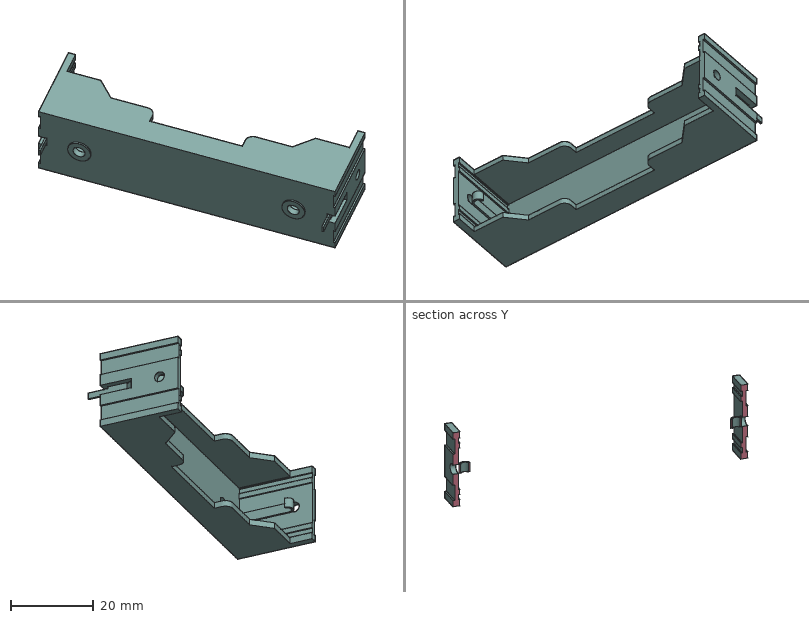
import cadquery as cq

LENGTH = 77.0
HEIGHT = 20.0
DEPTH = 21.0
END_WALL = 1.85
SIDE_WALL = 1.55
FLOOR = 1.2

SHOULDER_LEVEL = 15.1
SHOULDER_END = 10.6
STEP_LEVEL = 10.5
STEP_START = 14.9
NOTCH_LEVEL = 6.5
NOTCH_WIDTH = 24.0
NOTCH_RADIUS = 2.0

OUTER_GROOVE_DEPTH = 0.5
OUTER_GROOVE_INNER_EDGE = 4.2
OUTER_GROOVE_OUTER_EDGE = 8.25
RECESS_DEPTH = 0.35
RIB_INNER_EDGE = 5.55
RIB_OUTER_EDGE = 6.9

STRIP_THICKNESS = 0.5
STRIP_WIDTH = 2.55
BOW_RADIUS = 1.55
BOW_CENTER_LEVEL = 14.9
PIN_WIDTH = 1.6
PIN_LENGTH = 4.0
NECK_LEVEL = 1.15
TAB_WIDTH = 2.1
TAB_HINGE_LEVEL = 6.55
TAB_TIP_LEVEL = 8.1
TAB_REACH = 0.9

SLOT_HEIGHT = 8.4
SLOT_DEPTH = 2.15
PEEP_HOLE_DIAMETER = 2.6
PEEP_HOLE_LEVEL = 16.0
MOUNT_SPACING = 55.6
MOUNT_HOLE_DIAMETER = 3.1
BOSS_DIAMETER = 5.9
BOSS_HEIGHT = 0.5

HALF_LENGTH = LENGTH / 2
INNER_HALF_LENGTH = HALF_LENGTH - END_WALL
STRIP_OUTER_X = -INNER_HALF_LENGTH - RECESS_DEPTH


def block(x_range, y_range, z_range):
    """Box between the given limits along each axis."""
    (x0, x1), (y0, y1), (z0, z1) = x_range, y_range, z_range
    return cq.Workplane("XY").box(x1 - x0, y1 - y0, z1 - z0, centered=False).translate((x0, y0, z0))


def mirrored_pair(shape, plane):
    """The shape together with its mirror image."""
    return shape.union(shape.mirror(plane))


def tray():
    """Block with the stepped rim, hollowed out between the end walls."""
    half_notch = NOTCH_WIDTH / 2
    shoulder_x = HALF_LENGTH - SHOULDER_END
    step_x = HALF_LENGTH - STEP_START
    body = block((-HALF_LENGTH, HALF_LENGTH), (0, DEPTH), (-HEIGHT / 2, HEIGHT / 2))
    rim_cut = (
        cq.Workplane("XY", origin=(0, 0, -HEIGHT / 2))
        .moveTo(-INNER_HALF_LENGTH, DEPTH)
        .lineTo(-INNER_HALF_LENGTH, SHOULDER_LEVEL)
        .lineTo(-shoulder_x, SHOULDER_LEVEL)
        .lineTo(-step_x, STEP_LEVEL)
        .lineTo(-half_notch - NOTCH_RADIUS, STEP_LEVEL)
        .radiusArc((-half_notch, STEP_LEVEL - NOTCH_RADIUS), NOTCH_RADIUS)
        .lineTo(-half_notch, NOTCH_LEVEL)
        .lineTo(half_notch, NOTCH_LEVEL)
        .lineTo(half_notch, STEP_LEVEL - NOTCH_RADIUS)
        .radiusArc((half_notch + NOTCH_RADIUS, STEP_LEVEL), NOTCH_RADIUS)
        .lineTo(step_x, STEP_LEVEL)
        .lineTo(shoulder_x, SHOULDER_LEVEL)
        .lineTo(INNER_HALF_LENGTH, SHOULDER_LEVEL)
        .lineTo(INNER_HALF_LENGTH, DEPTH)
        .close()
        .extrude(HEIGHT)
    )
    cavity_half_height = HEIGHT / 2 - SIDE_WALL
    cavity = block(
        (-INNER_HALF_LENGTH, INNER_HALF_LENGTH),
        (FLOOR, DEPTH),
        (-cavity_half_height, cavity_half_height),
    )
    return body.cut(rim_cut).cut(cavity)


def outer_grooves():
    """Two grooves down the outside of the -X end wall."""
    groove = block(
        (-HALF_LENGTH, -HALF_LENGTH + OUTER_GROOVE_DEPTH),
        (0, DEPTH),
        (OUTER_GROOVE_INNER_EDGE, OUTER_GROOVE_OUTER_EDGE),
    )
    return mirrored_pair(groove, "XY")


def inner_recesses():
    """Recesses in the inside of the -X end wall, which leave a rib on each side of the contact."""
    x_range = (STRIP_OUTER_X, -INNER_HALF_LENGTH)
    y_range = (FLOOR, DEPTH)
    middle = block(x_range, y_range, (-RIB_INNER_EDGE, RIB_INNER_EDGE))
    side = block(x_range, y_range, (RIB_OUTER_EDGE, OUTER_GROOVE_OUTER_EDGE))
    return middle.union(mirrored_pair(side, "XY"))


def contact_openings():
    """Slot for the strip and round hole behind the bow, both in the -X end wall."""
    slot = block(
        (-HALF_LENGTH, -HALF_LENGTH + SLOT_DEPTH),
        (0, SLOT_HEIGHT),
        (-STRIP_WIDTH / 2, STRIP_WIDTH / 2),
    )
    peep_hole = (
        cq.Workplane("YZ", origin=(-HALF_LENGTH, PEEP_HOLE_LEVEL, 0))
        .circle(PEEP_HOLE_DIAMETER / 2)
        .extrude(END_WALL)
    )
    return slot.union(peep_hole)


def mount_cylinders(diameter, start, end):
    """Cylinders along Y, one at each mounting position."""
    return (
        cq.Workplane("XZ", origin=(0, end, 0))
        .pushPoints([(-MOUNT_SPACING / 2, 0), (MOUNT_SPACING / 2, 0)])
        .circle(diameter / 2)
        .extrude(end - start)
    )


def make_housing():
    """Tray with grooved end walls, contact openings and bossed mounting holes."""
    end_cuts = outer_grooves().union(inner_recesses()).union(contact_openings())
    bosses = mount_cylinders(BOSS_DIAMETER, -BOSS_HEIGHT, 0)
    holes = mount_cylinders(MOUNT_HOLE_DIAMETER, -BOSS_HEIGHT, FLOOR)
    return tray().cut(mirrored_pair(end_cuts, "YZ")).union(bosses).cut(holes)


def contact_strip():
    """Flat strip that narrows through 45-degree shoulders to the solder pin."""
    half_strip = STRIP_WIDTH / 2
    half_pin = PIN_WIDTH / 2
    shoulder_level = NECK_LEVEL + half_strip - half_pin
    return (
        cq.Workplane("YZ", origin=(STRIP_OUTER_X, 0, 0))
        .polyline([
            (BOW_CENTER_LEVEL, -half_strip),
            (BOW_CENTER_LEVEL, half_strip),
            (shoulder_level, half_strip),
            (NECK_LEVEL, half_pin),
            (-PIN_LENGTH, half_pin),
            (-PIN_LENGTH, -half_pin),
            (NECK_LEVEL, -half_pin),
            (shoulder_level, -half_strip),
        ])
        .close()
        .extrude(STRIP_THICKNESS)
    )


def spring_bow():
    """Half ring that continues the strip and bows into the cavity."""
    inner_radius = BOW_RADIUS - STRIP_THICKNESS
    center_x = STRIP_OUTER_X + BOW_RADIUS
    return (
        cq.Workplane("XY", origin=(center_x, BOW_CENTER_LEVEL, -STRIP_WIDTH / 2))
        .moveTo(-BOW_RADIUS, 0)
        .threePointArc((0, BOW_RADIUS), (BOW_RADIUS, 0))
        .lineTo(inner_radius, 0)
        .threePointArc((0, inner_radius), (-inner_radius, 0))
        .close()
        .extrude(STRIP_WIDTH)
    )


def locking_tab():
    """Tab that leans outward from the strip toward the closed end of the slot."""
    strip_inner_x = STRIP_OUTER_X + STRIP_THICKNESS
    return (
        cq.Workplane("XY", origin=(0, 0, -TAB_WIDTH / 2))
        .polyline([
            (STRIP_OUTER_X, TAB_HINGE_LEVEL),
            (STRIP_OUTER_X - TAB_REACH, TAB_TIP_LEVEL),
            (STRIP_OUTER_X - TAB_REACH + STRIP_THICKNESS, TAB_TIP_LEVEL),
            (strip_inner_x, TAB_HINGE_LEVEL),
        ])
        .close()
        .extrude(TAB_WIDTH)
    )


def make_contact(side):
    """One contact; side is -1 for the -X end and 1 for the +X end."""
    contact = contact_strip().union(spring_bow()).union(locking_tab())
    return contact.mirror("YZ") if side > 0 else contact


housing = make_housing()
contacts = [make_contact(side).val() for side in (-1, 1)]

result = cq.Compound.makeCompound([housing.val(), *contacts])